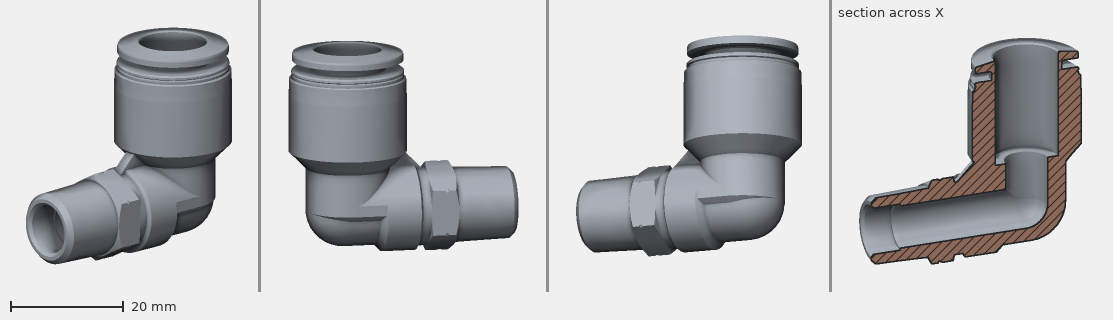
import cadquery as cq
import math


top_z = 29.0
collar_r = 19.8 / 2
collar_rim_z = 28.4
collar_rim_bevel = 0.1
collar_rim_bevel_height = 0.35
collar_under_z = 27.05
neck_r = 13.5 / 2
neck_flare = 0.25

ring_top_z = 25.42
ring_r = 20.0 / 2
ring_chamfer = 0.28
groove_z = 24.59
groove_half_width = 0.18
groove_depth = 0.3
ring_bottom_z = 23.92

body_r = 21.0 / 2
body_shoulder_r = 10.4
body_shoulder_chamfer = 0.2
body_taper_z = 20.72
body_bottom_z = 10.6
upright_r = 7.5
body_cone_z = body_bottom_z - (body_r - upright_r)

elbow_r = 6.55
elbow_shift = upright_r - elbow_r
undercut_depth = 1.2

branch_r = 7.75
branch_start = 5.8
branch_end = 11.8
branch_shoulder_length = 0.45
stem_r = 14.0 / 2
hex_start = 13.8
hex_end = 18.8
hex_flats = 14.0
hex_sides = 6
hex_corner_angle = 360 / hex_sides
hex_bevel_angle = 30
hex_corner_r = hex_flats / math.sqrt(3)
hex_back_bevel = 0.25
hex_front_bevel = (hex_corner_r - hex_flats / 2) * math.tan(math.radians(hex_bevel_angle))
thread_root_r = 6.7
thread_tip_r = 6.4
thread_chamfer_start = 28.9
stud_end = 29.8
stud_face_r = 5.55
dimple_r = 0.3
dimple_depth = 0.2
dimple_distance = 16.6

web_width = 2.1
web_reach = 20.3

tube_bore_r = 12.0 / 2
tube_bore_mouth_r = 6.25
tube_bore_mouth_depth = 0.25
tube_bore_floor_z = 9.0
passage_r = 8.0 / 2
stud_bore_r = 8.77 / 2
stud_bore_mouth_r = 4.9
stud_bore_mouth_depth = 0.5
stud_bore_floor = 24.25


def turned_about_z(profile):
    """Solid of revolution about Z from (radius, z) points; the profile closes along the axis."""
    return cq.Workplane("XZ").polyline(profile).close().revolve(360, (0, 0, 0), (0, 1, 0))


def turned_about_y(profile):
    """Solid of revolution about Y from (radius, distance along -Y) points."""
    points = [(radius, -distance) for radius, distance in profile]
    return cq.Workplane("XY").polyline(points).close().revolve(360, (0, 0, 0), (0, 1, 0))


def make_socket():
    return turned_about_z([
        (0, top_z),
        (tube_bore_mouth_r, top_z),
        (collar_r - collar_rim_bevel, collar_rim_z),
        (collar_r, collar_rim_z - collar_rim_bevel_height),
        (collar_r, collar_under_z),
        (neck_r + neck_flare, collar_under_z),
        (neck_r, collar_under_z - neck_flare),
        (neck_r, ring_top_z),
        (ring_r - ring_chamfer, ring_top_z),
        (ring_r, ring_top_z - ring_chamfer),
        (ring_r, groove_z + groove_half_width),
        (ring_r - groove_depth, groove_z),
        (ring_r, groove_z - groove_half_width),
        (ring_r, ring_bottom_z),
        (body_shoulder_r - body_shoulder_chamfer, ring_bottom_z),
        (body_shoulder_r, ring_bottom_z - body_shoulder_chamfer),
        (body_r, body_taper_z),
        (body_r, body_bottom_z),
        (upright_r, body_cone_z),
        (upright_r, 0),
        (upright_r - undercut_depth, -undercut_depth),
        (0, -undercut_depth),
    ])


def make_elbow():
    """Round lower bend, and the wider flat-sided upper half joining the upright to the branch."""
    bend_side = elbow_r * math.sqrt(0.5)
    bend = (
        cq.Workplane("XY")
        .moveTo(0, elbow_shift + elbow_r)
        .threePointArc((bend_side, elbow_shift + bend_side), (elbow_r, elbow_shift))
        .lineTo(elbow_r, -branch_start)
        .lineTo(0, -branch_start)
        .close()
        .revolve(360, (0, 0, 0), (0, 1, 0))
    )
    cheeks = (
        cq.Workplane("XZ")
        .moveTo(upright_r, branch_r)
        .lineTo(upright_r, 0)
        .lineTo(upright_r - undercut_depth, -undercut_depth)
        .lineTo(undercut_depth - upright_r, -undercut_depth)
        .lineTo(-upright_r, 0)
        .lineTo(-upright_r, branch_r)
        .close()
        .extrude(branch_start)
    )
    upper_run = cq.Workplane("XZ").circle(branch_r).extrude(branch_start)
    return bend.union(cheeks.intersect(upper_run))


def make_stud():
    step = branch_r - elbow_r
    return turned_about_y([
        (0, branch_start - step),
        (elbow_r, branch_start - step),
        (branch_r, branch_start),
        (branch_r, branch_end),
        (stem_r, branch_end + branch_shoulder_length),
        (stem_r, hex_start),
        (thread_root_r, hex_end),
        (thread_tip_r, thread_chamfer_start),
        (stud_face_r, stud_end),
        (0, stud_end),
    ])


def make_hexagon():
    """Hexagon with corners at top and bottom, both ends bevelled, and a dimple on each corner edge."""
    prism = (
        cq.Workplane("XZ", origin=(0, -hex_start, 0))
        .polygon(hex_sides, 2 * hex_corner_r)
        .extrude(hex_end - hex_start)
        .rotate((0, 0, 0), (0, 1, 0), hex_corner_angle / 2)
    )
    bevels = turned_about_y([
        (0, hex_start),
        (hex_flats / 2, hex_start),
        (hex_corner_r, hex_start + hex_back_bevel),
        (hex_corner_r, hex_end - hex_front_bevel),
        (hex_flats / 2, hex_end),
        (0, hex_end),
    ])
    hexagon = prism.intersect(bevels)
    top_dimple = (
        cq.Workplane("XY", origin=(0, -dimple_distance, hex_corner_r - dimple_depth))
        .circle(dimple_r)
        .extrude(2 * dimple_depth)
    )
    for corner in range(hex_sides):
        hexagon = hexagon.cut(top_dimple.rotate((0, 0, 0), (0, 1, 0), corner * hex_corner_angle))
    return hexagon


def make_web():
    """Thin web with a 45 degree sloping edge in the inner corner of the elbow."""
    return (
        cq.Workplane("YZ")
        .polyline([
            (0, 0),
            (stem_r - web_reach, 0),
            (stem_r - web_reach, stem_r),
            (body_bottom_z - web_reach, body_bottom_z),
            (0, body_bottom_z),
        ])
        .close()
        .extrude(web_width / 2, both=True)
    )


def make_bores():
    tube_bore = turned_about_z([
        (0, top_z),
        (tube_bore_mouth_r, top_z),
        (tube_bore_r, top_z - tube_bore_mouth_depth),
        (tube_bore_r, tube_bore_floor_z),
        (passage_r, tube_bore_floor_z),
        (passage_r, 0),
        (0, 0),
    ])
    stud_bore = turned_about_y([
        (0, 0),
        (passage_r, 0),
        (passage_r, stud_bore_floor),
        (stud_bore_r, stud_bore_floor),
        (stud_bore_r, stud_end - stud_bore_mouth_depth),
        (stud_bore_mouth_r, stud_end),
        (0, stud_end),
    ])
    return tube_bore.union(stud_bore).union(cq.Workplane("XY").sphere(passage_r))


result = (
    make_socket()
    .union(make_elbow())
    .union(make_stud())
    .union(make_hexagon())
    .union(make_web())
    .cut(make_bores())
)